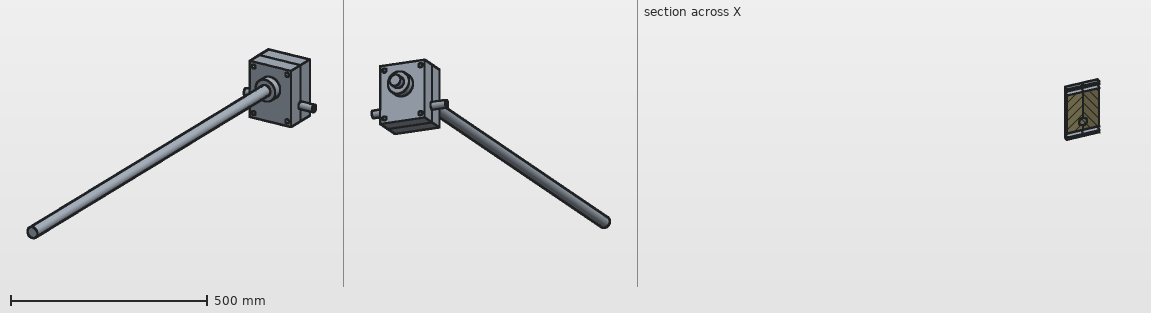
import cadquery as cq


HOUSING_WIDTH = 125.0
HOUSING_HEIGHT = 155.0
HOUSING_DEPTH = 90.0
HALF_DEPTH = HOUSING_DEPTH / 2
SCREW_ABOVE_CENTRE = 18.0
HOUSING_CENTRE_Z = -SCREW_ABOVE_CENTRE
BOSS_DIAMETER = 60.0
BOSS_LENGTH = 24.0

MOUNT_HOLE_DIAMETER = 11.0
MOUNT_HOLE_SPACING_X = 101.0
MOUNT_HOLE_SPACING_Z = 129.0

SCREW_DIAMETER = 30.0
SCREW_LENGTH = 1265.0
SCREW_BACK_Y = 90.0

SHAFT_DIAMETER = 20.0
SHAFT_LENGTH = 206.0
SHAFT_BELOW_SCREW = 50.0
SHAFT_AXIS_Z = -SHAFT_BELOW_SCREW
CENTRE_HOLE_DIAMETER = 4.9
CENTRE_HOLE_DEPTH = 10.0


def cylinder_along_y(diameter, start_y, length):
    """Cylinder on the Y axis from start_y, reaching length towards +Y."""
    return cq.Workplane("XZ", origin=(0, start_y, 0)).circle(diameter / 2).extrude(-length)


def cylinder_along_x(diameter, start_x, length):
    """Cylinder on the worm shaft axis from start_x, reaching length towards +X."""
    return cq.Workplane("YZ", origin=(start_x, 0, SHAFT_AXIS_Z)).circle(diameter / 2).extrude(length)


def make_screw():
    return cylinder_along_y(SCREW_DIAMETER, SCREW_BACK_Y - SCREW_LENGTH, SCREW_LENGTH)


def make_shaft_blank():
    return cylinder_along_x(SHAFT_DIAMETER, -SHAFT_LENGTH / 2, SHAFT_LENGTH)


def make_worm_shaft():
    """Plain shaft with a blind centre hole in each end."""
    shaft = make_shaft_blank()
    for start_x in (-SHAFT_LENGTH / 2, SHAFT_LENGTH / 2 - CENTRE_HOLE_DEPTH):
        shaft = shaft.cut(cylinder_along_x(CENTRE_HOLE_DIAMETER, start_x, CENTRE_HOLE_DEPTH))
    return shaft


def make_housing_half(side):
    """Half block with its boss, on the +Y side for side = 1 and the -Y side for side = -1."""
    half = (
        cq.Workplane("XZ", origin=(0, 0, HOUSING_CENTRE_Z))
        .rect(HOUSING_WIDTH, HOUSING_HEIGHT)
        .extrude(-side * HALF_DEPTH)
    )
    half = half.union(cylinder_along_y(BOSS_DIAMETER, 0, side * (HALF_DEPTH + BOSS_LENGTH)))
    mount_holes = (
        cq.Workplane("XZ", origin=(0, 0, HOUSING_CENTRE_Z))
        .rect(MOUNT_HOLE_SPACING_X, MOUNT_HOLE_SPACING_Z, forConstruction=True)
        .vertices()
        .circle(MOUNT_HOLE_DIAMETER / 2)
        .extrude(-side * HALF_DEPTH)
    )
    return half.cut(mount_holes).cut(make_screw()).cut(make_shaft_blank())


housing_halves = [make_housing_half(side) for side in (-1, 1)]
screw = make_screw()
worm_shaft = make_worm_shaft()

result = cq.Compound.makeCompound(
    [*(half.val() for half in housing_halves), screw.val(), worm_shaft.val()]
)